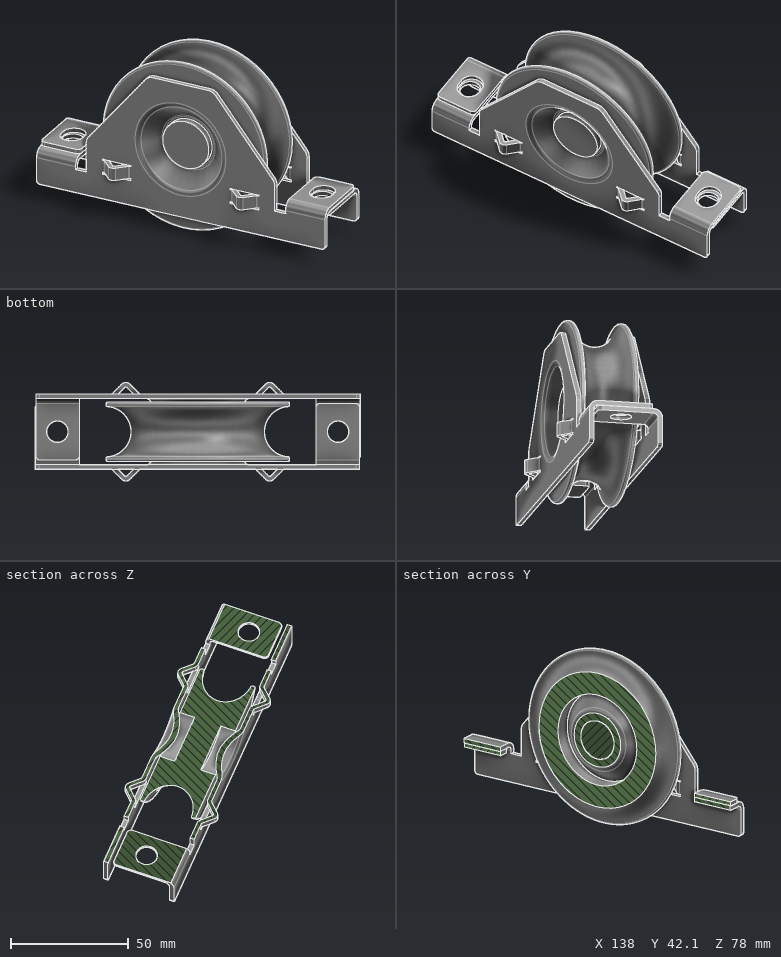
import cadquery as cq
import math

bend_radius = 4.0
sheet = bend_radius / 2
outer_y = 16.0
inner_y = outer_y - sheet
plate_bottom = -31.9
plate_top = 31.0
upper_end_x = 69.0
lower_end_x = 68.7
bottom_corner_radius = 1.7

shield_half_width = 45.0
shield_top_half_width = 15.5
shoulder_z = -5.4
shield_corner_radius = 5.0

upper_flange_z = -13.5
lower_flange_z = upper_flange_z - sheet
flange_inner_x = 50.1
flange_tip_y = outer_y - bend_radius
flange_corner_radius = 2.0
notch_depth = 5.4
hole_x = (upper_end_x + flange_inner_x) / 2
lower_hole_diameter = 9.0
slot_length = 12.1
slot_width = 10.0

loop_x = 30.5
loop_top = -13.5
loop_bottom = -19.3
slit_half_length = 6.8
slit_top = -13.1
slit_bottom = -20.1
loop_half_width = 6.0
loop_thickness = 2.0
loop_tip_radius = 2.3
loop_hollow_radius = 0.7
loop_foot_radius = 0.4
loop_root_radius = 2.6

wall_angle = 45
dish_diameter = 40.6
dish_floor_diameter = 24.7
dish_rim_radius = 3.3
dish_floor_radius = 1.1
dish_depth = (dish_diameter - dish_floor_diameter) / 2 / math.tan(math.radians(wall_angle))
floor_outer_y = outer_y - dish_depth
floor_inner_y = floor_outer_y - sheet
dish_wall_shift = sheet * math.tan(math.radians(wall_angle / 2))

shaft_diameter = 16.8
head_diameter = 22.0
head_height = 3.0

wheel_diameter = 78.0
wheel_half_width = 12.7
groove_radius = 10.6
rim_face_fillet = 0.8
rim_groove_fillet = 0.7
recess_diameter = 40.5

same_place = 0.01


def turned(profile):
    """Revolve a profile drawn with x as radius and y along the axle."""
    return profile.close().revolve(360, (0, 0, 0), (0, 1, 0))


def round_circle(body, radius, y, fillet):
    """Fillet the circular edge of the given radius around the axle at the given y."""
    circles = [
        edge for edge in body.edges("%CIRCLE").vals()
        if abs(edge.radius() - radius) < same_place and abs(edge.Center().y - y) < same_place
    ]
    return body.newObject([body.val().fillet(fillet, circles)])


def side_plate():
    """Flat side plate with its shield, notches and rounded corners."""
    upper_notch = upper_flange_z - notch_depth
    lower_notch = lower_flange_z - notch_depth
    upper_bend = upper_flange_z - bend_radius
    lower_bend = lower_flange_z - bend_radius
    outline = [
        (-lower_end_x, plate_bottom),
        (upper_end_x, plate_bottom),
        (upper_end_x, upper_bend),
        (flange_inner_x, upper_bend),
        (flange_inner_x, upper_notch),
        (shield_half_width, upper_notch),
        (shield_half_width, shoulder_z),
        (shield_top_half_width, plate_top),
        (-shield_top_half_width, plate_top),
        (-shield_half_width, shoulder_z),
        (-shield_half_width, lower_notch),
        (-flange_inner_x, lower_notch),
        (-flange_inner_x, lower_bend),
        (-lower_end_x, lower_bend),
    ]
    plate = cq.Workplane("XZ", origin=(0, -inner_y, 0)).polyline(outline).close().extrude(sheet)
    plate = plate.edges("|Y").edges("<Z").fillet(bottom_corner_radius)
    for side in (-1, 1):
        for x, z in ((shield_half_width, shoulder_z), (shield_top_half_width, plate_top)):
            corner = cq.selectors.NearestToPointSelector((side * x, -outer_y + sheet / 2, z))
            plate = plate.edges("|Y").edges(corner).fillet(shield_corner_radius)
    return plate


def flange(start_x, end_x, top_z):
    """Bend and flange, from the side plate to a tip with rounded corners."""
    half_bend = math.sqrt(0.5)
    bend_y = -outer_y + bend_radius
    bend_z = top_z - bend_radius
    inside_radius = bend_radius - sheet
    section = (
        cq.Workplane("YZ", origin=(start_x, 0, 0))
        .moveTo(-outer_y, bend_z)
        .threePointArc(
            (bend_y - bend_radius * half_bend, bend_z + bend_radius * half_bend),
            (bend_y, top_z),
        )
        .lineTo(flange_tip_y, top_z)
        .lineTo(flange_tip_y, top_z - sheet)
        .lineTo(bend_y, top_z - sheet)
        .threePointArc(
            (bend_y - inside_radius * half_bend, bend_z + inside_radius * half_bend),
            (-inner_y, bend_z),
        )
        .close()
        .extrude(end_x - start_x)
    )
    return section.edges("|Z").edges(">Y").fillet(flange_corner_radius)


def add_flanges(bracket):
    """Upper flange with a slot at +X, lower flange with a round hole at -X."""
    upper = flange(flange_inner_x, upper_end_x, upper_flange_z)
    slot = (
        cq.Workplane("XY", origin=(hole_x, 0, upper_flange_z))
        .slot2D(slot_length, slot_width, 90)
        .extrude(-sheet)
    )
    lower = flange(-lower_end_x, -flange_inner_x, lower_flange_z)
    hole = (
        cq.Workplane("XY", origin=(-hole_x, 0, lower_flange_z))
        .circle(lower_hole_diameter / 2)
        .extrude(-sheet)
    )
    return bracket.union(upper.cut(slot)).union(lower.cut(hole))


def add_loop(bracket, x):
    """Replace a window of the plate by a V-shaped strip that stands out from it."""
    window = (
        cq.Workplane("XZ", origin=(x, -inner_y, (slit_top + slit_bottom) / 2))
        .rect(2 * slit_half_length, slit_top - slit_bottom)
        .extrude(sheet)
    )
    tip_y = outer_y + loop_half_width
    hollow_tip_y = tip_y - loop_thickness * math.sqrt(2)
    hollow_half_width = hollow_tip_y - inner_y
    strip = (
        cq.Workplane("XY", origin=(x, 0, loop_bottom))
        .polyline([
            (-slit_half_length, -inner_y),
            (-slit_half_length, -outer_y),
            (-loop_half_width, -outer_y),
            (0, -tip_y),
            (loop_half_width, -outer_y),
            (slit_half_length, -outer_y),
            (slit_half_length, -inner_y),
            (hollow_half_width, -inner_y),
            (0, -hollow_tip_y),
            (-hollow_half_width, -inner_y),
        ])
        .close()
        .extrude(loop_top - loop_bottom)
    )
    strip = round_upright(strip, x, tip_y, loop_tip_radius)
    strip = round_upright(strip, x, hollow_tip_y, loop_hollow_radius)
    for side in (-1, 1):
        strip = round_upright(strip, x + side * loop_half_width, outer_y, loop_foot_radius)
        strip = round_upright(strip, x + side * hollow_half_width, inner_y, loop_root_radius)
    return bracket.cut(window).union(strip)


def round_upright(strip, x, depth, radius):
    """Fillet the upright edge of a loop at the given place."""
    edge = cq.selectors.NearestToPointSelector((x, -depth, (loop_top + loop_bottom) / 2))
    return strip.edges("|Z").edges(edge).fillet(radius)


def add_dish(bracket):
    """Press the conical dish into the plate around the axle."""
    mouth = dish_diameter / 2
    floor = dish_floor_diameter / 2
    hole = shaft_diameter / 2
    edge = mouth + dish_rim_radius
    opening = cq.Workplane("XZ", origin=(0, -inner_y, 0)).circle(edge).extrude(sheet)
    shell = turned(
        cq.Workplane("XY")
        .moveTo(hole, -floor_outer_y)
        .lineTo(floor, -floor_outer_y)
        .lineTo(mouth, -outer_y)
        .lineTo(edge, -outer_y)
        .lineTo(edge, -inner_y)
        .lineTo(mouth + dish_wall_shift, -inner_y)
        .lineTo(floor + dish_wall_shift, -floor_inner_y)
        .lineTo(hole, -floor_inner_y)
    )

    shell = round_circle(shell, mouth, -outer_y, dish_rim_radius)
    shell = round_circle(shell, mouth + dish_wall_shift, -inner_y, dish_rim_radius - sheet)
    shell = round_circle(shell, floor, -floor_outer_y, dish_floor_radius)
    shell = round_circle(shell, floor + dish_wall_shift, -floor_inner_y, dish_floor_radius + sheet)
    return bracket.cut(opening).union(shell)


def make_bracket(turn):
    bracket = add_flanges(side_plate())
    for x in (-loop_x, loop_x):
        bracket = add_loop(bracket, x)
    bracket = add_dish(bracket)
    return bracket.rotate((0, 0, 0), (0, 0, 1), turn)


def make_axle():
    """Shaft through both dish floors, with a head on each."""
    head_y = floor_outer_y + head_height
    shaft = cq.Workplane("XZ", origin=(0, floor_outer_y, 0)).circle(shaft_diameter / 2)
    axle = shaft.extrude(2 * floor_outer_y)
    for start in (head_y, -floor_outer_y):
        head = cq.Workplane("XZ", origin=(0, start, 0)).circle(head_diameter / 2)
        axle = axle.union(head.extrude(head_height))
    return axle


def make_wheel():
    rim = wheel_diameter / 2
    recess = recess_diameter / 2
    bore = shaft_diameter / 2
    wheel = turned(
        cq.Workplane("XY")
        .moveTo(bore, -floor_inner_y)
        .lineTo(recess, -floor_inner_y)
        .lineTo(recess, -wheel_half_width)
        .lineTo(rim, -wheel_half_width)
        .lineTo(rim, -groove_radius)
        .threePointArc((rim - groove_radius, 0), (rim, groove_radius))
        .lineTo(rim, wheel_half_width)
        .lineTo(recess, wheel_half_width)
        .lineTo(recess, floor_inner_y)
        .lineTo(bore, floor_inner_y)
    )
    for side in (-1, 1):
        wheel = round_circle(wheel, rim, side * wheel_half_width, rim_face_fillet)
        wheel = round_circle(wheel, rim, side * groove_radius, rim_groove_fillet)
    return wheel


brackets = [make_bracket(turn) for turn in (0, 180)]
axle = make_axle()
wheel = make_wheel()

result = cq.Compound.makeCompound([*[b.val() for b in brackets], axle.val(), wheel.val()])